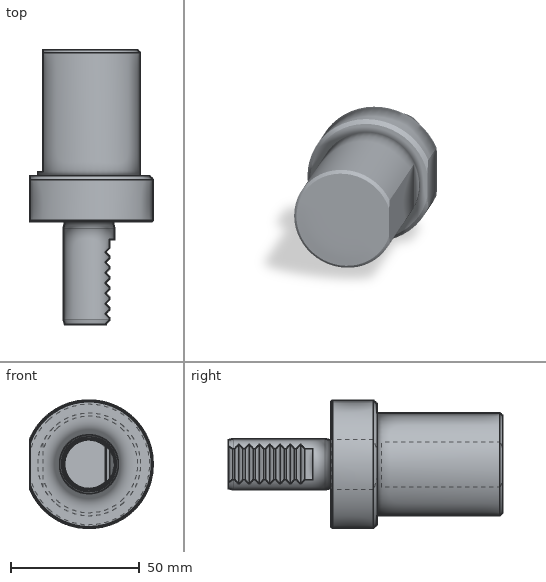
import cadquery as cq


body_diameter = 40.0
body_length = 49.0
body_chamfer = 1.2
body_flat_distance = 18.0
body_flat_length = 47.4

collar_diameter = 50.0
collar_thickness = 18.0
collar_rear_chamfer = 1.5
collar_front_chamfer = 0.6
collar_flat_distance = 23.0

shank_diameter = 20.0
shank_length = 40.0
tip_chamfer_radial = 0.5
tip_chamfer_length = 2.0

neck_diameter = 19.2
neck_cone_start = 2.5
neck_cone_end = 0.8
relief_fillet_radius = 0.9
relief_fillet_start = 0.4
relief_floor_diameter = 21.3
relief_outer_diameter = 22.9

serration_flat_distance = 8.0
serration_flat_start = 7.0
serration_depth = 1.6
first_root_distance = 11.8
last_root_distance = 39.8
serration_count = 8
serration_pitch = (last_root_distance - first_root_distance) / (serration_count - 1)

body_radius = body_diameter / 2
collar_radius = collar_diameter / 2
shank_radius = shank_diameter / 2
neck_radius = neck_diameter / 2
rear_face = collar_thickness + body_length
tip_face = -shank_length


def turned_blank():
    """Full revolved profile: shank, neck, relief, collar and body, with all turned chamfers."""
    relief_depth = relief_fillet_radius - relief_fillet_start

    profile = (
        cq.Workplane("XY")
        .moveTo(0, tip_face)
        .lineTo(shank_radius - tip_chamfer_radial, tip_face)
        .lineTo(shank_radius, tip_face + tip_chamfer_length)
        .lineTo(shank_radius, -neck_cone_start)
        .lineTo(neck_radius, -neck_cone_end)
        .lineTo(neck_radius, -relief_fillet_start)
        .tangentArcPoint((relief_fillet_radius, relief_fillet_radius))
        .lineTo(relief_floor_diameter / 2, relief_depth)
        .lineTo(relief_outer_diameter / 2, 0)
        .lineTo(collar_radius - collar_front_chamfer, 0)
        .lineTo(collar_radius, collar_front_chamfer)
        .lineTo(collar_radius, collar_thickness - collar_rear_chamfer)
        .lineTo(collar_radius - collar_rear_chamfer, collar_thickness)
        .lineTo(body_radius, collar_thickness)
        .lineTo(body_radius, rear_face - body_chamfer)
        .lineTo(body_radius - body_chamfer, rear_face)
        .lineTo(0, rear_face)
        .close()
    )
    return profile.revolve(360, (0, 0, 0), (0, 1, 0))


def side_flat(distance, y_start, y_end):
    """Cutter for a flat facing -X at the given distance from the axis."""
    return (
        cq.Workplane("XY")
        .box(collar_radius, y_end - y_start, collar_diameter, centered=(False, False, True))
        .translate((-distance - collar_radius, y_start, 0))
    )


def clamping_flat():
    """Cutter for the +X shank flat, open at the tip."""
    return (
        cq.Workplane("XY")
        .box(shank_radius, shank_length - serration_flat_start, shank_diameter,
             centered=(False, False, True))
        .translate((serration_flat_distance, tip_face, 0))
    )


def serration(root_y):
    """Cutter for one 90 degree V groove across the clamping flat."""
    root_x = serration_flat_distance - serration_depth
    reach = shank_radius - root_x
    groove = [
        (root_x, root_y),
        (root_x + reach, root_y - reach),
        (root_x + reach, root_y + reach),
    ]
    return cq.Workplane("XY").polyline(groove).close().extrude(shank_radius, both=True)


result = turned_blank()
result = result.cut(side_flat(collar_flat_distance, 0, collar_thickness))
result = result.cut(side_flat(body_flat_distance, rear_face - body_flat_length, rear_face))
result = result.cut(clamping_flat())
for index in range(serration_count):
    result = result.cut(serration(-first_root_distance - index * serration_pitch))